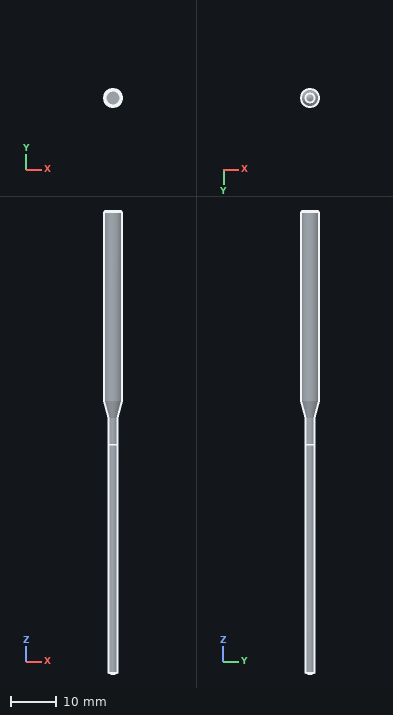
import cadquery as cq
import math

TOTAL_LENGTH = 102.0
SHANK_LENGTH = 41.9
CUTTING_LENGTH = 50.5

SHANK_DIAMETER = 4.0
DRILL_DIAMETER = 2.0

SHANK_CHAMFER = 0.4

POINT_ANGLE = 140.0
TAPER_HALF_ANGLE = 15.0

shank_radius = SHANK_DIAMETER / 2
drill_radius = DRILL_DIAMETER / 2

point_height = drill_radius / math.tan(math.radians(POINT_ANGLE / 2))
taper_length = (shank_radius - drill_radius) / math.tan(math.radians(TAPER_HALF_ANGLE))
shank_bottom = TOTAL_LENGTH - SHANK_LENGTH
neck_top = shank_bottom - taper_length


def revolve_about_z(outline):
    """Turn a closed (radius, height) outline about the Z axis."""
    return cq.Workplane("XZ").polyline(outline).close().revolve(360, (0, 0, 0), (0, 1, 0))


def make_cutting_part():
    """Plain cylinder of the cutting length, ending in a conical point."""
    return revolve_about_z([
        (0, 0),
        (drill_radius, point_height),
        (drill_radius, CUTTING_LENGTH),
        (0, CUTTING_LENGTH),
    ])


def make_shank():
    """Neck, conical taper and cylindrical shank with a chamfered end."""
    return revolve_about_z([
        (0, CUTTING_LENGTH),
        (drill_radius, CUTTING_LENGTH),
        (drill_radius, neck_top),
        (shank_radius, shank_bottom),
        (shank_radius, TOTAL_LENGTH - SHANK_CHAMFER),
        (shank_radius - SHANK_CHAMFER, TOTAL_LENGTH),
        (0, TOTAL_LENGTH),
    ])


cutting_part = make_cutting_part()
shank = make_shank()

result = cq.Compound.makeCompound([cutting_part.val(), shank.val()])